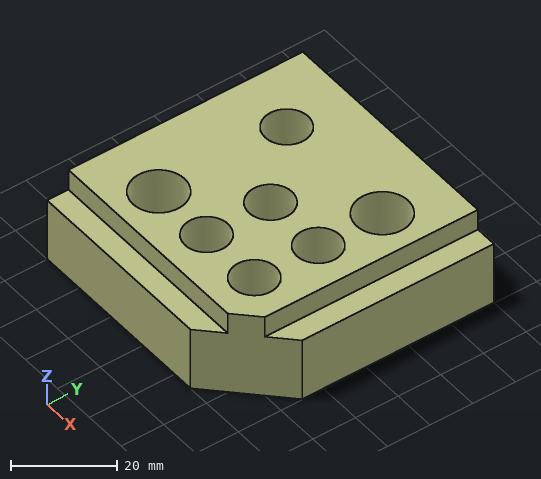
import cadquery as cq

side = 60.0
height = side / 3
rebate = height / 4
pitch = side / 4
corner_cut = pitch
small_diameter = side / 6
large_diameter = side / 5

small_holes = [(1, 3), (2, 2), (3, 2), (2, 1), (3, 1)]
large_holes = [(1, 1), (3, 3)]


def stepped_block():
    """Square base with an upper layer set back along the -Y and +X edges."""
    base = cq.Workplane("XY").box(side, side, height - rebate, centered=False)
    upper_side = side - rebate
    upper = cq.Workplane("XY").box(upper_side, upper_side, height, centered=False)
    return base.union(upper.translate((0, rebate, 0)))


def corner_wedge():
    """Full-height triangle at the corner between the two stepped edges."""
    return (
        cq.Workplane("XY")
        .moveTo(side - corner_cut, 0)
        .lineTo(side, 0)
        .lineTo(side, corner_cut)
        .close()
        .extrude(height)
    )


def through_holes(grid_places, diameter):
    """Full-height cylinders at the given grid places."""
    centers = [(column * pitch, row * pitch) for column, row in grid_places]
    return cq.Workplane("XY").pushPoints(centers).circle(diameter / 2).extrude(height)


result = (
    stepped_block()
    .cut(corner_wedge())
    .cut(through_holes(small_holes, small_diameter))
    .cut(through_holes(large_holes, large_diameter))
)